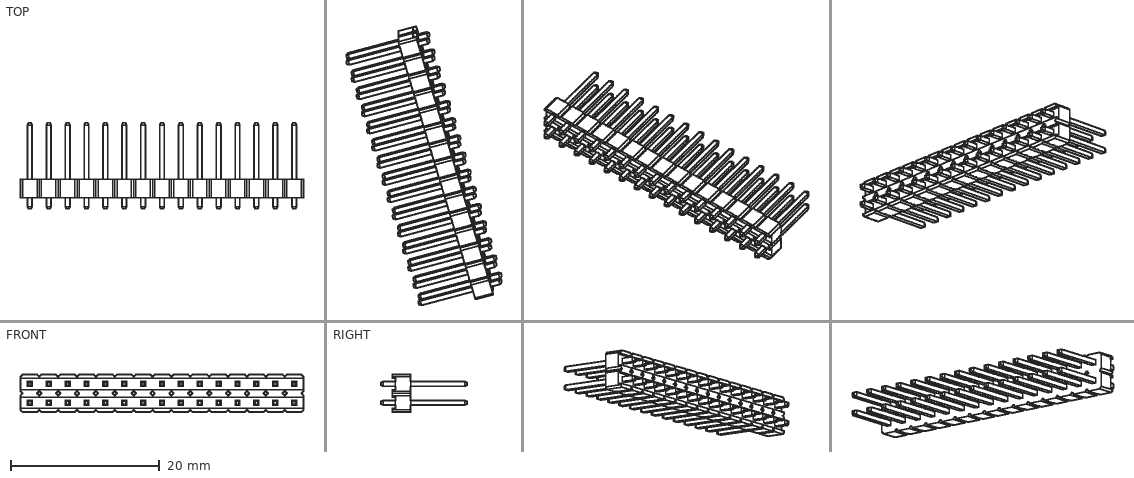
import cadquery as cq

pitch = 2.54
columns = 15
rows = 2

body_depth = 2.5
cell_chamfer = 0.3
slot_height = 1.54
slot_depth = 0.44

pin_width = 0.65
pin_length = 11.6
pin_front_reach = 1.5
tip_length = 0.325
tip_inset = 0.15

body_length = columns * pitch
body_front = -body_depth / 2
pin_front = body_front - pin_front_reach
pin_back = pin_front + pin_length


def cell_center(index, count):
    """Position of a cell along its row or column, centred on the origin."""
    return (index - (count - 1) / 2) * pitch


def make_cell():
    """Body block around one pin, chamfered along its four Y edges."""
    return cq.Workplane("XY").box(pitch, body_depth, pitch).edges("|Y").chamfer(cell_chamfer)


def make_slot():
    """Cutter for the full-length slot in the front face of one row."""
    slot_middle = body_front + slot_depth / 2
    return cq.Workplane("XY").box(body_length, slot_depth, slot_height).translate((0, slot_middle, 0))


def make_tip(end_y, inward):
    """Tapered pin tip whose small face is at end_y; inward is the Y direction into the pin."""
    end_width = pin_width - 2 * tip_inset
    plane = cq.Plane(origin=(0, end_y, 0), xDir=(1, 0, 0), normal=(0, inward, 0))
    return (
        cq.Workplane(plane)
        .rect(end_width, end_width)
        .workplane(offset=tip_length)
        .rect(pin_width, pin_width)
        .loft(ruled=True)
    )


def make_pin():
    """Straight square pin with a tapered tip at each end."""
    shank_length = pin_length - 2 * tip_length
    shank_middle = (pin_front + pin_back) / 2
    shank = cq.Workplane("XY").box(pin_width, shank_length, pin_width).translate((0, shank_middle, 0))
    return shank.union(make_tip(pin_front, 1)).union(make_tip(pin_back, -1))


def copies_at(shape, centers):
    """Copies of a shape's solid moved to each (x, z) centre."""
    return [shape.val().translate(cq.Vector(x, 0, z)) for x, z in centers]


column_centers = [cell_center(i, columns) for i in range(columns)]
row_centers = [cell_center(i, rows) for i in range(rows)]
pin_centers = [(x, z) for x in column_centers for z in row_centers]

cells = copies_at(make_cell(), pin_centers)
slots = copies_at(make_slot(), [(0, z) for z in row_centers])
pins = copies_at(make_pin(), pin_centers)

body = cells[0].fuse(*cells[1:]).clean().cut(*slots)
result = cq.Workplane("XY").newObject([body.fuse(*pins).clean().Solids()[0]])